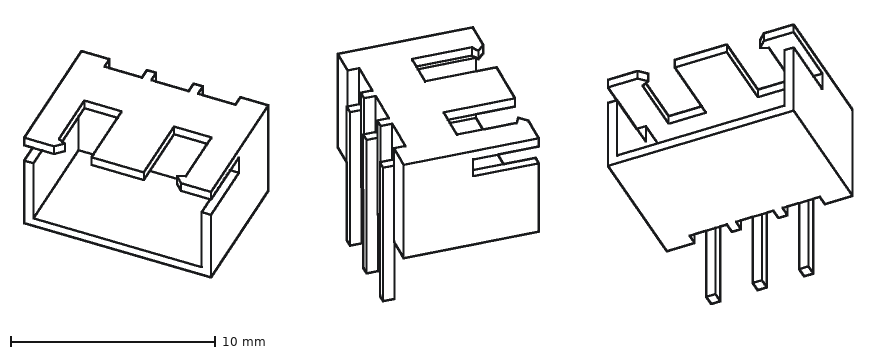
import cadquery as cq

HOUSING_WIDTH = 10.0
HOUSING_DEPTH = 7.0
HOUSING_HEIGHT = 5.6
WALL = 0.5
CAVITY_DEPTH = 5.5

SIDE_SLOT_DEPTH = 3.4
SIDE_SLOT_HEIGHT = 1.0

WINDOW_WIDTH = 2.0
WINDOW_DEPTH = 3.7
WINDOW_OUTER_X = 3.4
BARB_REACH = 0.4
BARB_TIP_Y = 0.4
BARB_BACK_Y = 0.6

PIN_COUNT = 3
PIN_PITCH = 2.5
PIN_WIDTH = 0.5
PIN_THICKNESS = 0.6
PIN_OVERHANG = 0.3
PIN_TOP = 4.0
PIN_LENGTH_BELOW = 4.0
NOTCH_WIDTH = 2.0
NOTCH_DEPTH = 0.6

ROOF_BOTTOM = HOUSING_HEIGHT - WALL
NOTCH_FLOOR_Y = HOUSING_DEPTH - NOTCH_DEPTH
PIN_BACK_Y = HOUSING_DEPTH + PIN_OVERHANG
PIN_XS = [(i - (PIN_COUNT - 1) / 2) * PIN_PITCH for i in range(PIN_COUNT)]


def block(x_center, width, y_min, y_max, z_min, z_max):
    """Box centred on x_center, between the given Y and Z limits."""
    box = cq.Workplane("XY").box(width, y_max - y_min, z_max - z_min, centered=(True, False, False))
    return box.translate((x_center, y_min, z_min))


def housing_shell():
    """Outer box with the connector cavity opened from the front."""
    outer = block(0, HOUSING_WIDTH, 0, HOUSING_DEPTH, 0, HOUSING_HEIGHT)
    cavity = block(0, HOUSING_WIDTH - 2 * WALL, 0, CAVITY_DEPTH, WALL, ROOF_BOTTOM)
    return outer.cut(cavity)


def side_slots():
    """Cutter for the slots in both side walls."""
    return block(0, HOUSING_WIDTH, 0, SIDE_SLOT_DEPTH, ROOF_BOTTOM - SIDE_SLOT_HEIGHT, ROOF_BOTTOM)


def roof_window(side):
    """Cutter for one roof window; side is -1 for left and +1 for right."""
    outer_x = side * WINDOW_OUTER_X
    inner_x = side * (WINDOW_OUTER_X - WINDOW_WIDTH)
    barb_tip_x = side * (WINDOW_OUTER_X - BARB_REACH)
    outline = [
        (inner_x, 0),
        (inner_x, WINDOW_DEPTH),
        (outer_x, WINDOW_DEPTH),
        (outer_x, BARB_BACK_Y),
        (barb_tip_x, BARB_TIP_Y),
        (outer_x, 0),
    ]
    return cq.Workplane("XY").workplane(offset=ROOF_BOTTOM).polyline(outline).close().extrude(WALL)


def pin_notch(x):
    """Cutter for the full-height notch behind one pin."""
    return block(x, NOTCH_WIDTH, NOTCH_FLOOR_Y, HOUSING_DEPTH, 0, HOUSING_HEIGHT)


def bent_pin(x):
    """Downward leg joined to the back wall by a short arm at its top."""
    leg = block(x, PIN_WIDTH, PIN_BACK_Y - PIN_THICKNESS, PIN_BACK_Y, -PIN_LENGTH_BELOW, PIN_TOP)
    arm = block(x, PIN_WIDTH, NOTCH_FLOOR_Y, PIN_BACK_Y, PIN_TOP - PIN_THICKNESS, PIN_TOP)
    return leg.union(arm)


result = housing_shell().cut(side_slots())
for side in (-1, 1):
    result = result.cut(roof_window(side))
for pin_x in PIN_XS:
    result = result.cut(pin_notch(pin_x)).union(bent_pin(pin_x))